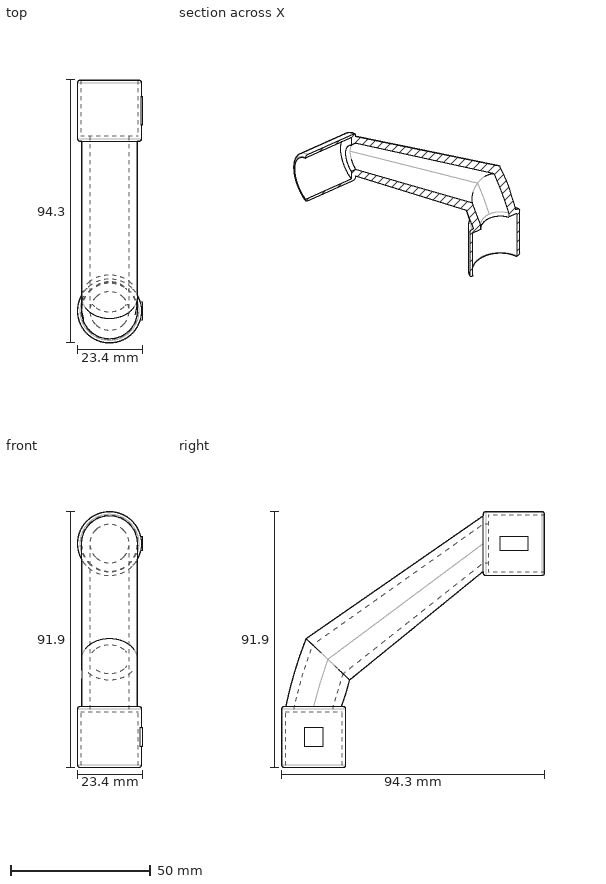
import cadquery as cq
import math

overall_y = 94.35
overall_z = 91.9
socket_diameter = 23.0
socket_length = 22.0
socket_fillet = 0.9
socket_bore = 20.4
socket_floor = 2.0

tube_diameter = 20.0
tube_bore = 14.0
elbow_y = 5.1
elbow_z = 38.9
elbow_tilt = 43.5
elbow_stretch = 1.08
mid_elbow_y = 2.4
mid_elbow_z = 30.5

pad_height = 0.4
lower_pad_width = 6.6
lower_pad_length = 6.8
upper_pad_width = 5.1
upper_pad_length = 10.1

socket_radius = socket_diameter / 2
upper_axis_z = overall_z - socket_radius
upper_end_y = overall_y - socket_radius
upper_face_y = upper_end_y - socket_length
socket_depth = socket_length - socket_floor


def lower_end_plane():
    """Open end of the lower socket, facing into the part."""
    return cq.Plane(origin=(0, 0, 0), xDir=(1, 0, 0), normal=(0, 0, 1))


def upper_end_plane():
    """Open end of the upper socket, facing into the part."""
    return cq.Plane(origin=(0, upper_end_y, upper_axis_z), xDir=(1, 0, 0), normal=(0, -1, 0))


def tube_section(diameter, y, z, tilt, stretch=1.0):
    """Cross-section wire of the tube, square to an axis tilted from Z towards Y."""
    angle = math.radians(tilt)
    plane = cq.Plane(origin=(0, y, z), xDir=(1, 0, 0), normal=(0, math.sin(angle), math.cos(angle)))
    radius = diameter / 2
    return cq.Workplane(plane).ellipse(radius, radius * stretch).val()


def tube(diameter):
    """Solid run: curved elbow above the lower socket, then straight to the upper socket."""
    lower = tube_section(diameter, 0, socket_length, 0)
    mid_elbow = tube_section(diameter, mid_elbow_y, mid_elbow_z, elbow_tilt / 2)
    elbow = tube_section(diameter, elbow_y, elbow_z, elbow_tilt, elbow_stretch)
    upper = tube_section(diameter, upper_face_y, upper_axis_z, 90)
    bend = cq.Solid.makeLoft([lower, mid_elbow, elbow])
    straight = cq.Solid.makeLoft([elbow, upper], True)
    return cq.Workplane(bend).union(cq.Workplane(straight))


def socket(end_plane):
    """Solid socket body with both rims rounded."""
    body = cq.Workplane(end_plane).circle(socket_radius).extrude(socket_length)
    return body.edges("%CIRCLE").fillet(socket_fillet)


def socket_hole(end_plane):
    """Wide socket bore, then the tube bore through the socket floor."""
    wide = cq.Workplane(end_plane).circle(socket_bore / 2).extrude(socket_depth)
    narrow = cq.Workplane(end_plane).circle(tube_bore / 2).extrude(socket_length)
    return wide.union(narrow)


def pad(y, z, size_y, size_z):
    """Thin rectangular pad rooted in the socket wall and raised towards +X."""
    root_x = (socket_radius + socket_bore / 2) / 2
    thickness = socket_radius + pad_height - root_x
    return cq.Workplane("YZ", origin=(root_x, y, z)).rect(size_y, size_z).extrude(thickness)


end_planes = [lower_end_plane(), upper_end_plane()]

result = tube(tube_diameter)
for end_plane in end_planes:
    result = result.union(socket(end_plane))

result = result.union(pad(0, socket_length / 2, lower_pad_width, lower_pad_length))
upper_pad_y = upper_end_y - socket_length / 2
result = result.union(pad(upper_pad_y, upper_axis_z, upper_pad_length, upper_pad_width))

result = result.cut(tube(tube_bore))
for end_plane in end_planes:
    result = result.cut(socket_hole(end_plane))